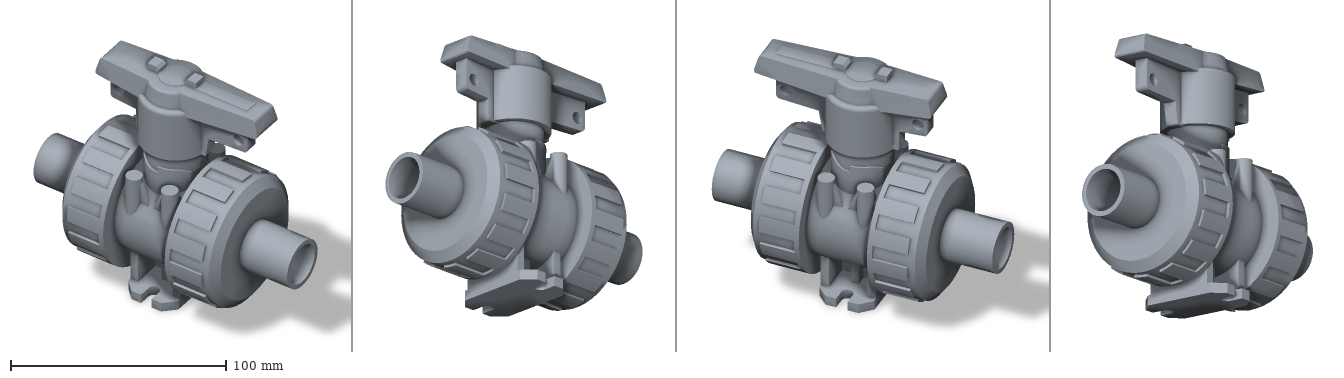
import cadquery as cq
import math


overall_length = 143.0
overall_height = 123.0
pipe_radius = 12.5
bore_radius = 10.1
body_radius = 24.8

nut_inner_x = 17.35
nut_outer_x = 44.7
nut_radius = 34.25
nut_groove_radius = 32.9
nut_face_radius = 27.9
nut_chamfer_length = 3.5
collar_outer_x = 19.9
rib_outer_x = 37.75
rib_count = 14
rib_pitch = 360.0 / rib_count
rib_width_angle = 13.4
rib_phase = 5.8 - rib_width_angle / 2

neck_radius = 15.0
neck_half_width = 13.2
stem_radius = 14.1
stem_top_z = 54.3
cam_low_z = 32.2
cam_high_z = 35.4
cam_ramp_start = -10.0
cam_ramp_end = 35.0

pillar_x = 10.05
pillar_y = 19.4
pillar_radius = 4.05
pillar_top_z = 29.0
gusset_thickness = 1.9
gusset_slope = 2.35
long_gusset_y = 18.1
long_gusset_toe_x = 1.1
long_gusset_toe_z = 14.4
short_gusset_x = 11.2
short_gusset_toe_y = 13.5
short_gusset_toe_z = 20.8

foot_bottom_z = -40.0
foot_thickness = 4.9
foot_top_z = foot_bottom_z + foot_thickness
foot_half_x = 14.1
foot_half_y = 24.0
foot_corner = 5.75
foot_slot_radius = 2.95
foot_slot_depth = 9.0
wall_thickness = 4.3
wall_half_y = 16.6
post_radius = 4.2
cross_rib_half_x = 1.85
cross_rib_half_y = 8.7
spine_half_y = 2.0

sleeve_radius = 17.5
sleeve_bottom_z = 43.1
sleeve_side_top_z = 68.6
sleeve_shoulder_radius = 16.4
sleeve_shoulder_z = 70.4
slot_half_y = 3.95
web_half_y = 3.4
hub_base_radius = 14.85
hub_base_z = 70.8
hub_top_radius = 13.2
hub_edge_radius = 1.5
handle_top_z = 79.35
handle_end_z = 70.0
handle_mid_z = 68.1
handle_left_x = -38.75
handle_right_x = 51.6
handle_end_overhang = 1.05
handle_shoulder_x = 13.2
handle_left_half_y = 9.7
handle_mid_half_y = 12.0
handle_right_half_y = 9.1
handle_side_draft = 1.55
handle_end_draft = 3.0
handle_edge_radius = 1.8
handle_end_chamfer = 0.6
cap_radius = 7.9
cap_top_z = 79.75
strip_end_x = 42.8
strip_half_y = 3.5
lug_top_z = foot_bottom_z + overall_height
lug_outer_x = 13.65
lug_inner_x = 7.4
lug_chamfer = 1.4
lug_half_y = 3.2

web_left_x = -34.4
web_right_x = 42.8
web_ear_bottom_z = 54.7
web_waist_z = 53.5
web_bottom_z = 42.7
web_stem_left_x = -19.8
web_waist_right_x = 21.0
web_stem_right_x = 19.3
web_ear_corner_radius = 2.0
web_foot_corner_radius = 1.0
web_hole_radius = 2.9
web_hole_z = 60.2
web_hole_left_x = -29.4
web_hole_right_x = 37.8


def box(x0, x1, y0, y1, z0, z1):
    """Axis-aligned box between the given limits."""
    return cq.Workplane("XY").box(x1 - x0, y1 - y0, z1 - z0, centered=False).translate((x0, y0, z0))


def upright(radius, z0, z1, x=0, y=0):
    """Vertical cylinder."""
    return cq.Workplane("XY").workplane(offset=z0).center(x, y).circle(radius).extrude(z1 - z0)


def along_flow(radius, x0, x1):
    """Cylinder on the flow axis."""
    return cq.Workplane("YZ").workplane(offset=x0).circle(radius).extrude(x1 - x0)


def plate_xz(points, half_y):
    """Plate with the given XZ outline, centred on the XZ plane."""
    return cq.Workplane("XZ").polyline(points).close().extrude(half_y, both=True)


def make_turned_body():
    """Body, pipe ends and plain parts of the nuts as one solid of revolution about the flow axis."""
    half_outline = [
        (nut_inner_x, body_radius),
        (nut_inner_x, nut_radius),
        (collar_outer_x, nut_radius),
        (collar_outer_x, body_radius),
        (rib_outer_x, body_radius),
        (rib_outer_x, nut_groove_radius),
        (nut_outer_x - nut_chamfer_length, nut_groove_radius),
        (nut_outer_x, nut_face_radius),
        (nut_outer_x, pipe_radius),
        (overall_length / 2, pipe_radius),
        (overall_length / 2, 0),
    ]
    mirrored_outline = [(-x, radius) for x, radius in reversed(half_outline)]
    outline = cq.Workplane("XZ").polyline(mirrored_outline + half_outline).close()
    return outline.revolve(360, (0, 0, 0), (1, 0, 0))


def make_ribbed_ring():
    """Ribbed part of the nut on the +X side."""

    def on_circle(radius, angle):
        return (radius * math.cos(math.radians(angle)), radius * math.sin(math.radians(angle)))

    ring = cq.Workplane("YZ").workplane(offset=collar_outer_x).moveTo(*on_circle(nut_radius, rib_phase))
    for i in range(rib_count):
        rib_start = rib_phase + i * rib_pitch
        rib_end = rib_start + rib_width_angle
        next_start = rib_start + rib_pitch
        rib_middle = (rib_start + rib_end) / 2
        groove_middle = (rib_end + next_start) / 2
        ring = (
            ring.threePointArc(on_circle(nut_radius, rib_middle), on_circle(nut_radius, rib_end))
            .lineTo(*on_circle(nut_groove_radius, rib_end))
            .threePointArc(
                on_circle(nut_groove_radius, groove_middle),
                on_circle(nut_groove_radius, next_start),
            )
        )
        if i < rib_count - 1:
            ring = ring.lineTo(*on_circle(nut_radius, next_start))
    ring = ring.close().extrude(rib_outer_x - collar_outer_x)
    return ring.cut(along_flow(pipe_radius, collar_outer_x, rib_outer_x))


def make_cam_space():
    """Everything below the stop cam between the neck and the stem."""
    reach = 2 * neck_radius
    ramp_start = neck_radius * math.sin(math.radians(cam_ramp_start))
    ramp_end = neck_radius * math.sin(math.radians(cam_ramp_end))
    lobe = (
        cq.Workplane("XZ")
        .moveTo(-reach, cam_low_z)
        .lineTo(-reach, cam_high_z)
        .lineTo(ramp_start, cam_high_z)
        .spline([(ramp_end, cam_low_z)], tangents=[(1, 0), (1, 0)], includeCurrent=True)
        .close()
        .extrude(reach)
        .rotate((0, 0, 0), (0, 0, 1), 45)
        .intersect(box(0, reach, -reach, 0, cam_low_z, cam_high_z))
    )
    space = box(-reach, reach, -reach, reach, 0, cam_low_z)
    for quarter in range(4):
        space = space.union(lobe.rotate((0, 0, 0), (0, 0, 1), 90 * quarter))
    return space


def make_neck_and_stem():
    """Flatted neck below the cam and round stem above it."""
    cam_space = make_cam_space()
    flats = box(-neck_half_width, neck_half_width, -neck_radius, neck_radius, 0, cam_high_z)
    neck = upright(neck_radius, 0, cam_high_z).intersect(flats).intersect(cam_space)
    stem = upright(stem_radius, cam_low_z, stem_top_z).cut(cam_space)
    return neck.union(stem)


def gusset_outline(pillar_distance, toe_distance, toe_z):
    """Upright outline that slopes from a pillar down towards the stem axis."""
    top_distance = toe_distance + (pillar_top_z - toe_z) / gusset_slope
    return [
        (pillar_distance, 0),
        (toe_distance, 0),
        (toe_distance, toe_z),
        (top_distance, pillar_top_z),
        (pillar_distance, pillar_top_z),
    ]


def make_pillars():
    """Four pillars, each with two gussets towards the middle."""
    long_gusset = (
        cq.Workplane("XZ", origin=(0, long_gusset_y + gusset_thickness, 0))
        .polyline(gusset_outline(pillar_x, long_gusset_toe_x, long_gusset_toe_z))
        .close()
        .extrude(gusset_thickness)
    )
    short_gusset = (
        cq.Workplane("YZ", origin=(short_gusset_x, 0, 0))
        .polyline(gusset_outline(pillar_y, short_gusset_toe_y, short_gusset_toe_z))
        .close()
        .extrude(gusset_thickness)
    )
    pillar = upright(pillar_radius, 0, pillar_top_z, pillar_x, pillar_y)
    pillar = pillar.union(long_gusset).union(short_gusset)
    pair = pillar.union(pillar.mirror("YZ"))
    return pair.union(pair.mirror("XZ"))


def make_foot():
    """Slotted foot plate joined to the body by two walls, a spine, a cross rib and a post."""
    plate = box(-foot_half_x, foot_half_x, -foot_half_y, foot_half_y, foot_bottom_z, foot_top_z)
    plate = plate.edges("|Z").chamfer(foot_corner)
    slot_centre_y = foot_half_y - foot_slot_depth + foot_slot_radius
    slot = box(-foot_slot_radius, foot_slot_radius, slot_centre_y, foot_half_y, foot_bottom_z, foot_top_z)
    slot = slot.union(upright(foot_slot_radius, foot_bottom_z, foot_top_z, 0, slot_centre_y))
    plate = plate.cut(slot).cut(slot.mirror("XZ"))
    wall_inner_x = foot_half_x - wall_thickness
    wall_top_z = -body_radius / 2
    wall = box(wall_inner_x, foot_half_x, -wall_half_y, wall_half_y, foot_top_z, wall_top_z)
    spine = box(-wall_inner_x, wall_inner_x, -spine_half_y, spine_half_y, foot_top_z, wall_top_z)
    cross_rib = box(
        -cross_rib_half_x, cross_rib_half_x, -cross_rib_half_y, cross_rib_half_y, foot_top_z, wall_top_z
    )
    post = upright(post_radius, foot_top_z, wall_top_z)
    return plate.union(wall).union(wall.mirror("YZ")).union(spine).union(cross_rib).union(post)


def make_grip():
    """Tapered bar of the handle: drafted sides, sloping ends and a V-shaped underside."""

    def outline(draft_x, draft_y):
        left = handle_left_x - handle_end_overhang + draft_x
        right = handle_right_x + handle_end_overhang - draft_x
        left_y = handle_left_half_y - draft_y
        mid_y = handle_mid_half_y - draft_y
        right_y = handle_right_half_y - draft_y
        return [(left, -left_y), (0, -mid_y), (right, -right_y), (right, right_y), (0, mid_y), (left, left_y)]

    grip = (
        cq.Workplane("XY")
        .workplane(offset=handle_mid_z)
        .polyline(outline(0, 0))
        .close()
        .workplane(offset=handle_top_z - handle_mid_z)
        .polyline(outline(handle_end_draft, handle_side_draft))
        .close()
        .loft(ruled=True)
    )
    grip = grip.faces(">Z").edges("|Y").fillet(handle_edge_radius)
    side_profile = plate_xz(
        [
            (handle_left_x, handle_end_z + handle_end_chamfer),
            (handle_left_x + handle_end_chamfer, handle_end_z),
            (-handle_shoulder_x, handle_mid_z),
            (handle_shoulder_x, handle_mid_z),
            (handle_right_x - handle_end_chamfer, handle_end_z),
            (handle_right_x, handle_end_z + handle_end_chamfer),
            (handle_right_x, handle_top_z),
            (handle_left_x, handle_top_z),
        ],
        handle_mid_half_y,
    )
    return grip.intersect(side_profile)


def make_sleeve_and_hub():
    """Two half shells around the stem, closed on top by a conical hub."""
    turned = (
        cq.Workplane("XZ")
        .moveTo(0, sleeve_bottom_z)
        .lineTo(sleeve_radius, sleeve_bottom_z)
        .lineTo(sleeve_radius, sleeve_side_top_z)
        .tangentArcPoint((sleeve_shoulder_radius, sleeve_shoulder_z), relative=False)
        .lineTo(hub_base_radius, hub_base_z)
        .lineTo(hub_top_radius, handle_top_z)
        .lineTo(0, handle_top_z)
        .close()
        .revolve(360, (0, 0, 0), (0, 1, 0))
    )
    turned = turned.faces(">Z").edges().fillet(hub_edge_radius)
    slot = box(-sleeve_radius, sleeve_radius, -slot_half_y, slot_half_y, sleeve_bottom_z, handle_mid_z)
    return turned.cut(slot)


def make_web():
    """Upright web under the grip, with a locking hole in each ear."""
    web = plate_xz(
        [
            (web_left_x, handle_end_z),
            (web_left_x, web_ear_bottom_z),
            (web_stem_left_x, web_waist_z),
            (web_stem_left_x, web_bottom_z),
            (web_stem_right_x, web_bottom_z),
            (web_waist_right_x, web_waist_z),
            (web_right_x, web_ear_bottom_z),
            (web_right_x, handle_end_z),
        ],
        web_half_y,
    )
    rounded_corners = [
        (web_left_x, web_ear_bottom_z, web_ear_corner_radius),
        (web_right_x, web_ear_bottom_z, web_ear_corner_radius),
        (web_stem_left_x, web_bottom_z, web_foot_corner_radius),
        (web_stem_right_x, web_bottom_z, web_foot_corner_radius),
    ]
    for x, z, radius in rounded_corners:
        web = web.edges("|Y").edges(cq.selectors.NearestToPointSelector((x, 0, z))).fillet(radius)
    holes = (
        cq.Workplane("XZ")
        .pushPoints([(web_hole_left_x, web_hole_z), (web_hole_right_x, web_hole_z)])
        .circle(web_hole_radius)
        .extrude(web_half_y, both=True)
    )
    return web.cut(holes)


def make_top_details():
    """Round cap, raised strip and the two lugs on top of the grip."""
    cap = upright(cap_radius, handle_mid_z, cap_top_z)
    strip = box(0, strip_end_x, -strip_half_y, strip_half_y, handle_top_z, cap_top_z)
    lug = plate_xz(
        [
            (lug_inner_x, handle_top_z),
            (lug_inner_x, lug_top_z - lug_chamfer),
            (lug_inner_x + lug_chamfer, lug_top_z),
            (lug_outer_x, lug_top_z),
            (lug_outer_x, handle_top_z),
        ],
        lug_half_y,
    )
    return cap.union(strip).union(lug).union(lug.mirror("YZ"))


ribbed_ring = make_ribbed_ring()
fittings = make_neck_and_stem().union(make_pillars()).union(make_foot())
handle = make_sleeve_and_hub().union(make_grip()).union(make_web()).union(make_top_details())
bore = along_flow(bore_radius, -overall_length / 2, overall_length / 2)

valve = make_turned_body().union(fittings).cut(bore).union(handle)
valve = valve.union(ribbed_ring, clean=False)
result = valve.union(ribbed_ring.rotate((0, 0, 0), (0, 0, 1), 180), clean=False)